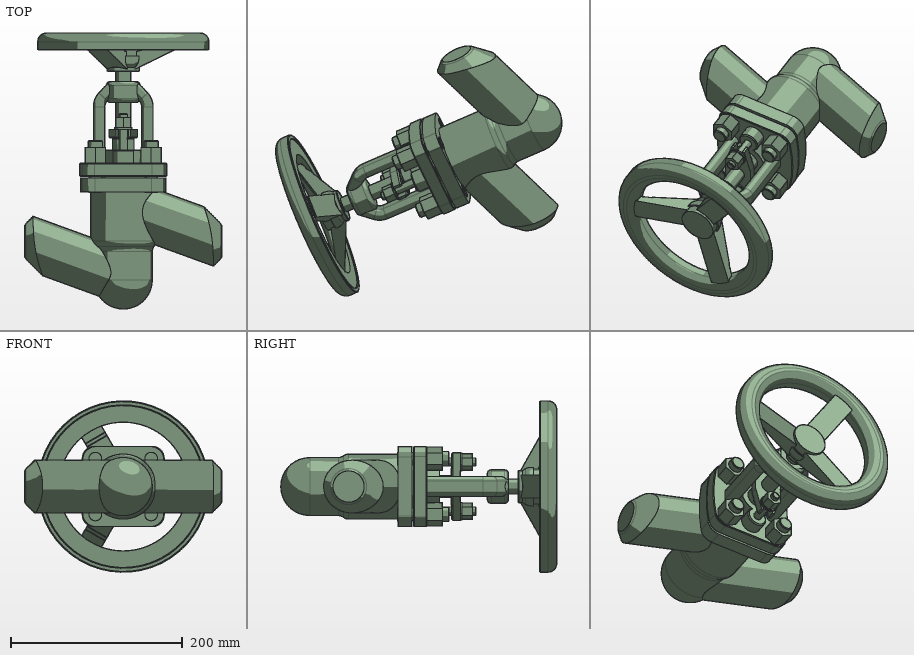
import cadquery as cq
import math


OVERALL_LENGTH = 322
WHEEL_TOP_Y = 242.8

BODY_R = 38.0
NECK_R = 68.0 / 2
SHOULDER_LENGTH = 12.0
DOME_CENTRE_Y = WHEEL_TOP_Y - OVERALL_LENGTH + NECK_R
PIPE_R = 61.5 / 2
PIPE_TILT = 20
PIPE_END_X = 115.0
PIPE_END_R = 36.5 / 2
WELD_LAND = 1.5
WELD_BEVEL_R = 21.0

LOWER_FLANGE_Y = 57.5
LOWER_FLANGE_TOP_Y = 73.7
UPPER_FLANGE_Y = 75.7
UPPER_FLANGE_TOP_Y = 91.0
FLANGE_HALF_Z = 93.7 / 2
FLANGE_HALF_X = 45.0
FLANGE_EDGE_CHAMFER = 1.0
LOWER_CORNER_R = 14.8
UPPER_CORNER_R = 14.2
LOWER_BULGE_X = 50.0
UPPER_BULGE_X = 51.0
GASKET_R = 37.0
STUD_PITCH = 65.0
STUD_SHANK_R = 7.5
STUD_TOP_R = 8.5
STUD_TOP_Y = 117.2
STUD_TIP_CHAMFER = 1.0
STUD_PROUD = 0.8
NUT_FLATS = 23.8
NUT_HEIGHT = 18.5

STUFFING_BOX_R = 20.5
STUFFING_BOX_TOP_Y = 106.3
GLAND_STUD_Z = 28.5
GLAND_BOSS_R = 12.2
GLAND_BOSS_CHAMFER = 1.3
GLAND_STUD_R = 4.8
GLAND_STUD_TOP_Y = 148.8
GLAND_R = 25.5 / 2
GLAND_PLATE_Y = 120.0
GLAND_PLATE_TOP_Y = 130.5
GLAND_PLATE_HALF_X = 16.7
GLAND_PLATE_HALF_Z = 39.5
GLAND_PLATE_FLAT_HALF_Z = 11.3
GLAND_PLATE_TIP_HALF_X = 8.7
GLAND_PLATE_CHAMFER = 1.5
GLAND_SLOT_WIDTH = 12.2
GLAND_PAD_HALF_Z = 21.3
GLAND_PAD_HEIGHT = 1.0
WASHER_R = 10.3
WASHER_HEIGHT = 2.0
GLAND_NUT_FLATS = 16.7
GLAND_NUT_HEIGHT = 12.0

STEM_R = 17.7 / 2
ARM_X = 56.5 / 2
ARM_WIDTH_X = 13.5
ARM_WIDTH_Z = 23.5
ARM_FLAT_Z = 13.0
ARM_BEND_Y = 156.5
ARM_BEND_R = 17.5
ARM_BEND_ANGLE = 43
ARM_INCLINE_LENGTH = 22.5
BUSH_R = 19.5
BUSH_Y = 161.5
BUSH_TOP_Y = 186.5
BUSH_FILLET = 4.8

WHEEL_R = 200.0 / 2
WHEEL_HOLE_R = 75.0
WHEEL_Y = 222.8
WHEEL_LIP_R = 95.3
WHEEL_LIP_CHAMFER = 1.0
WHEEL_TOP_ARC_R = 10.3
HUB_Y = 197.7
HUB_CHAMFER = 1.0
HUB_FLANGE_R = 19.0
HUB_FLANGE_TOP_Y = 202.5
HUB_TAPER_TOP_R = 21.3
HUB_COLLAR_R = 22.5
HUB_COLLAR_Y = 206.5
HUB_COLLAR_TOP_Y = 215.7
HUB_BULGE_R = 19.3
HUB_NECK_R = 20.5
HUB_TOP_Y = 225.5
SPOKE_COUNT = 3
SPOKE_WIDTH = 26.7
SPOKE_INNER_R = 14.8
SPOKE_INNER_Y = 201.0
SPOKE_BAND_INNER_R = 61.0
SPOKE_BAND_OUTER_R = 65.7
SPOKE_BAND_DEPTH = 0.5
SPOKE_OUTER_R = 77.3
SPOKE_SLOPE = 0.49
SPOKE_TOP_SLOPE = 0.29
SPOKE_TIP_THICKNESS = 7.5


def section_at(y):
    """Workplane across the stem axis at height y; local axes are X and Z."""
    return cq.Workplane("XZ", origin=(0, y, 0))


def disc(radius, y_low, y_high, x=0, z=0):
    return section_at(y_low).center(x, z).circle(radius).extrude(y_low - y_high)


def revolve_about_stem(profile):
    return profile.close().revolve(360, (0, 0, 0), (0, 1, 0))


def hex_nut(flats, y_low, height, x, z):
    """Hexagonal nut with its corners pointing along Z."""
    corners = flats / math.cos(math.radians(30))
    nut = cq.Workplane("XZ").polygon(6, corners).extrude(-height)
    return nut.rotate((0, 0, 0), (0, 1, 0), 30).translate((x, y_low, z))


def make_body():
    shoulder_mid = ((BODY_R + NECK_R) / 2, -SHOULDER_LENGTH / 2)
    dome_diagonal = NECK_R * math.sqrt(0.5)
    profile = (
        cq.Workplane("XY")
        .moveTo(0, LOWER_FLANGE_Y)
        .lineTo(BODY_R, LOWER_FLANGE_Y)
        .lineTo(BODY_R, 0)
        .tangentArcPoint(shoulder_mid, relative=False)
        .tangentArcPoint((NECK_R, -SHOULDER_LENGTH), relative=False)
        .lineTo(NECK_R, DOME_CENTRE_Y)
        .threePointArc((dome_diagonal, DOME_CENTRE_Y - dome_diagonal), (0, DOME_CENTRE_Y - NECK_R))
    )
    return revolve_about_stem(profile)


def make_pipe_stub():
    """Stub on the +X side: a tilted pipe turned to a 45 degree weld bevel about its end face axis."""
    tilt = math.radians(PIPE_TILT)
    start = cq.Plane(
        origin=(0, PIPE_END_X * math.tan(tilt), 0),
        xDir=(0, 0, 1),
        normal=(math.cos(tilt), -math.sin(tilt), 0),
    )
    pipe = cq.Workplane(start).circle(PIPE_R).extrude(2 * PIPE_END_X)
    bevel_x = PIPE_END_X - WELD_LAND
    turned = (
        cq.Workplane("XY")
        .moveTo(PIPE_END_X, 0)
        .lineTo(PIPE_END_X, PIPE_END_R)
        .lineTo(bevel_x, WELD_BEVEL_R)
        .lineTo(-PIPE_END_X, WELD_BEVEL_R + bevel_x + PIPE_END_X)
        .lineTo(-PIPE_END_X, 0)
        .close()
        .revolve(360, (0, 0, 0), (1, 0, 0))
    )
    return pipe.intersect(turned)


def make_flange(y_low, y_high, bulge_x, corner_r):
    """Square flange with rounded corners and slightly bowed X sides."""
    return (
        section_at(y_low)
        .moveTo(-FLANGE_HALF_X, FLANGE_HALF_Z)
        .lineTo(FLANGE_HALF_X, FLANGE_HALF_Z)
        .threePointArc((bulge_x, 0), (FLANGE_HALF_X, -FLANGE_HALF_Z))
        .lineTo(-FLANGE_HALF_X, -FLANGE_HALF_Z)
        .threePointArc((-bulge_x, 0), (-FLANGE_HALF_X, FLANGE_HALF_Z))
        .close()
        .extrude(y_low - y_high)
        .edges("|Y")
        .fillet(corner_r)
    )


def make_stud_bolt(x, z):
    shank = disc(STUD_SHANK_R, LOWER_FLANGE_Y - STUD_PROUD, UPPER_FLANGE_TOP_Y, x, z)
    tip = disc(STUD_TOP_R, UPPER_FLANGE_TOP_Y, STUD_TOP_Y, x, z)
    tip = tip.faces(">Y").chamfer(STUD_TIP_CHAMFER)
    nut = hex_nut(NUT_FLATS, UPPER_FLANGE_TOP_Y, NUT_HEIGHT, x, z)
    return shank.union(tip).union(nut)


def make_gland_plate():
    """Plate narrowing to both Z ends, with an open stud slot at each end and a pad underneath."""
    height = GLAND_PLATE_TOP_Y - GLAND_PLATE_Y
    plate = (
        section_at(GLAND_PLATE_Y)
        .polyline([
            (GLAND_PLATE_HALF_X, -GLAND_PLATE_FLAT_HALF_Z),
            (GLAND_PLATE_HALF_X, GLAND_PLATE_FLAT_HALF_Z),
            (GLAND_PLATE_TIP_HALF_X, GLAND_PLATE_HALF_Z),
            (-GLAND_PLATE_TIP_HALF_X, GLAND_PLATE_HALF_Z),
            (-GLAND_PLATE_HALF_X, GLAND_PLATE_FLAT_HALF_Z),
            (-GLAND_PLATE_HALF_X, -GLAND_PLATE_FLAT_HALF_Z),
            (-GLAND_PLATE_TIP_HALF_X, -GLAND_PLATE_HALF_Z),
            (GLAND_PLATE_TIP_HALF_X, -GLAND_PLATE_HALF_Z),
        ])
        .close()
        .extrude(-height)
        .faces("<Y")
        .chamfer(GLAND_PLATE_CHAMFER)
    )
    slot_depth = GLAND_PLATE_HALF_Z - GLAND_STUD_Z
    for side in (1, -1):
        mouth = (
            section_at(GLAND_PLATE_Y)
            .center(0, side * (GLAND_STUD_Z + slot_depth / 2))
            .rect(GLAND_SLOT_WIDTH, slot_depth)
            .extrude(-height)
        )
        seat = disc(GLAND_SLOT_WIDTH / 2, GLAND_PLATE_Y, GLAND_PLATE_TOP_Y, z=side * GLAND_STUD_Z)
        plate = plate.cut(mouth).cut(seat)
    pad = (
        section_at(GLAND_PLATE_Y)
        .rect(2 * GLAND_R, 2 * GLAND_PAD_HALF_Z)
        .extrude(GLAND_PAD_HEIGHT)
    )
    return plate.union(pad)


def make_gland_stud(z):
    nut_y = GLAND_PLATE_TOP_Y + WASHER_HEIGHT
    boss = disc(GLAND_BOSS_R, UPPER_FLANGE_TOP_Y, STUFFING_BOX_TOP_Y, z=z)
    boss = boss.faces(">Y").chamfer(GLAND_BOSS_CHAMFER)
    stud = disc(GLAND_STUD_R, UPPER_FLANGE_TOP_Y, GLAND_STUD_TOP_Y, z=z)
    stud = stud.faces(">Y").chamfer(STUD_TIP_CHAMFER)
    washer = disc(WASHER_R, GLAND_PLATE_TOP_Y, nut_y, z=z)
    nut = hex_nut(GLAND_NUT_FLATS, nut_y, GLAND_NUT_HEIGHT, 0, z)
    return boss.union(stud).union(washer).union(nut)


def make_yoke_arm():
    """Arm on the +X side: upright from the flange, then bent towards the bush."""
    bend = math.radians(ARM_BEND_ANGLE)
    half_bend = bend / 2
    bend_centre_x = ARM_X - ARM_BEND_R

    def on_bend(angle):
        return (
            bend_centre_x + ARM_BEND_R * math.cos(angle),
            ARM_BEND_Y + ARM_BEND_R * math.sin(angle),
        )

    bend_end = on_bend(bend)
    path = (
        cq.Workplane("XY")
        .moveTo(ARM_X, UPPER_FLANGE_TOP_Y)
        .lineTo(ARM_X, ARM_BEND_Y)
        .threePointArc(on_bend(half_bend), bend_end)
        .lineTo(
            bend_end[0] - ARM_INCLINE_LENGTH * math.sin(bend),
            bend_end[1] + ARM_INCLINE_LENGTH * math.cos(bend),
        )
    )
    half_x = ARM_WIDTH_X / 2
    half_flat = ARM_FLAT_Z / 2
    section = (
        section_at(UPPER_FLANGE_TOP_Y)
        .center(ARM_X, 0)
        .moveTo(half_x, -half_flat)
        .lineTo(half_x, half_flat)
        .threePointArc((0, ARM_WIDTH_Z / 2), (-half_x, half_flat))
        .lineTo(-half_x, -half_flat)
        .threePointArc((0, -ARM_WIDTH_Z / 2), (half_x, -half_flat))
        .close()
    )
    arm = section.sweep(path)
    headroom = section_at(BUSH_TOP_Y).rect(4 * BUSH_R, 4 * BUSH_R).extrude(-ARM_INCLINE_LENGTH)
    return arm.cut(headroom)


def make_hub():
    profile = (
        cq.Workplane("XY")
        .moveTo(0, HUB_Y)
        .lineTo(HUB_FLANGE_R - HUB_CHAMFER, HUB_Y)
        .lineTo(HUB_FLANGE_R, HUB_Y + HUB_CHAMFER)
        .lineTo(HUB_FLANGE_R, HUB_FLANGE_TOP_Y)
        .lineTo(HUB_TAPER_TOP_R, HUB_COLLAR_Y)
        .radiusArc((HUB_COLLAR_R, HUB_COLLAR_TOP_Y), -HUB_BULGE_R)
        .lineTo(HUB_NECK_R, HUB_COLLAR_TOP_Y)
        .lineTo(HUB_NECK_R, HUB_TOP_Y)
        .lineTo(0, HUB_TOP_Y)
    )
    return revolve_about_stem(profile)


def make_rim():
    """Rounded rim whose underside is recessed behind a bevelled outer lip."""
    recess_y = WHEEL_Y + WHEEL_LIP_CHAMFER
    arc_low_y = WHEEL_TOP_Y - WHEEL_TOP_ARC_R
    arc_inset = WHEEL_TOP_ARC_R * (1 - math.sqrt(0.5))
    profile = (
        cq.Workplane("XY")
        .moveTo(WHEEL_HOLE_R, recess_y)
        .lineTo(WHEEL_LIP_R - WHEEL_LIP_CHAMFER, recess_y)
        .lineTo(WHEEL_LIP_R, WHEEL_Y)
        .lineTo(WHEEL_R - WHEEL_LIP_CHAMFER, WHEEL_Y)
        .lineTo(WHEEL_R, recess_y)
        .lineTo(WHEEL_R, arc_low_y)
        .threePointArc(
            (WHEEL_R - arc_inset, WHEEL_TOP_Y - arc_inset),
            (WHEEL_R - WHEEL_TOP_ARC_R, WHEEL_TOP_Y),
        )
        .lineTo(WHEEL_HOLE_R + WHEEL_TOP_ARC_R, WHEEL_TOP_Y)
        .threePointArc(
            (WHEEL_HOLE_R + arc_inset, WHEEL_TOP_Y - arc_inset),
            (WHEEL_HOLE_R, arc_low_y),
        )
    )
    return revolve_about_stem(profile)


def make_spoke():
    """Tapered spoke along +X with a shallow band cut across its underside near the rim."""

    def underside(radius):
        return SPOKE_INNER_Y + SPOKE_SLOPE * (radius - SPOKE_INNER_R)

    band_inner = SPOKE_BAND_INNER_R + SPOKE_BAND_DEPTH
    band_outer = SPOKE_BAND_OUTER_R - SPOKE_BAND_DEPTH
    tip_top_y = underside(SPOKE_OUTER_R) + SPOKE_TIP_THICKNESS
    return (
        cq.Workplane("XY")
        .moveTo(0, SPOKE_INNER_Y)
        .lineTo(SPOKE_INNER_R, SPOKE_INNER_Y)
        .lineTo(SPOKE_BAND_INNER_R, underside(SPOKE_BAND_INNER_R))
        .lineTo(band_inner, underside(band_inner) + SPOKE_BAND_DEPTH)
        .lineTo(band_outer, underside(band_outer) + SPOKE_BAND_DEPTH)
        .lineTo(SPOKE_BAND_OUTER_R, underside(SPOKE_BAND_OUTER_R))
        .lineTo(SPOKE_OUTER_R, underside(SPOKE_OUTER_R))
        .lineTo(SPOKE_OUTER_R, tip_top_y)
        .lineTo(0, tip_top_y - SPOKE_TOP_SLOPE * SPOKE_OUTER_R)
        .close()
        .extrude(SPOKE_WIDTH / 2, both=True)
    )


def make_handwheel():
    wheel = make_rim().union(make_hub())
    for index in range(SPOKE_COUNT):
        wheel = wheel.union(make_spoke().rotate((0, 0, 0), (0, 1, 0), index * 360 / SPOKE_COUNT))
    return wheel


result = make_body()

outlet = make_pipe_stub()
inlet = outlet.rotate((0, 0, 0), (0, 0, 1), 180)
result = result.union(outlet).union(inlet)

result = result.union(make_flange(LOWER_FLANGE_Y, LOWER_FLANGE_TOP_Y, LOWER_BULGE_X, LOWER_CORNER_R))
result = result.union(disc(GASKET_R, LOWER_FLANGE_TOP_Y, UPPER_FLANGE_Y))
upper_flange = make_flange(UPPER_FLANGE_Y, UPPER_FLANGE_TOP_Y, UPPER_BULGE_X, UPPER_CORNER_R)
upper_flange = upper_flange.faces("<Y or >Y").edges().chamfer(FLANGE_EDGE_CHAMFER)
result = result.union(upper_flange)
for x_side in (1, -1):
    for z_side in (1, -1):
        result = result.union(make_stud_bolt(x_side * STUD_PITCH / 2, z_side * STUD_PITCH / 2))

result = result.union(disc(STUFFING_BOX_R, UPPER_FLANGE_TOP_Y, STUFFING_BOX_TOP_Y))
result = result.union(disc(GLAND_R, STUFFING_BOX_TOP_Y, GLAND_PLATE_Y))
result = result.union(make_gland_plate())
for z_side in (1, -1):
    result = result.union(make_gland_stud(z_side * GLAND_STUD_Z))

result = result.union(disc(STEM_R, GLAND_PLATE_TOP_Y, HUB_Y))
bush = disc(BUSH_R, BUSH_Y, BUSH_TOP_Y).faces("<Y or >Y").edges().fillet(BUSH_FILLET)
arm = make_yoke_arm()
result = result.union(arm).union(arm.mirror("YZ")).union(bush)

result = result.union(make_handwheel())